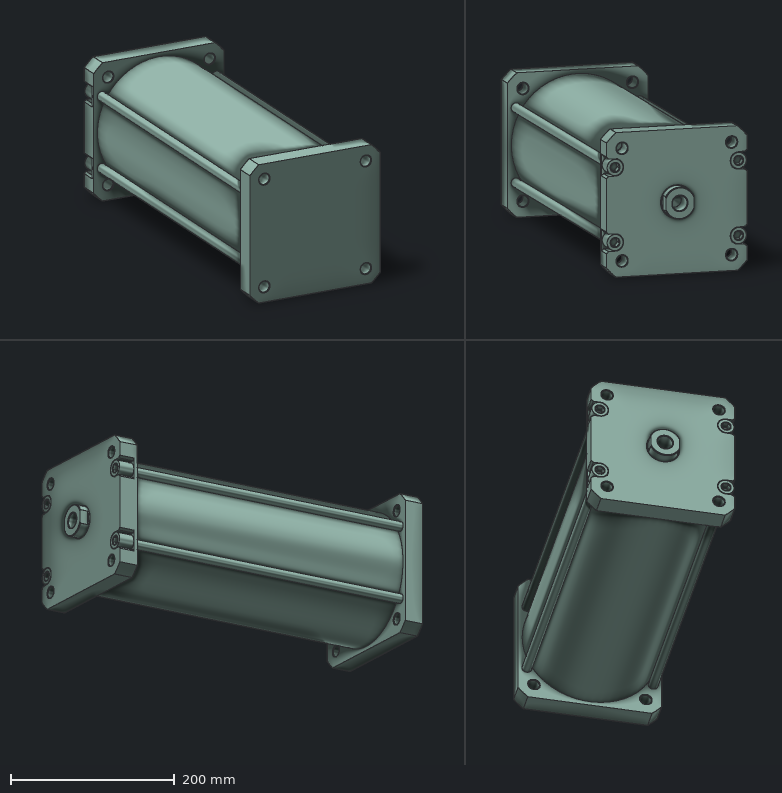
import cadquery as cq
import math


overall_length = 449.2
rod_protrusion = 12.5
plate_thickness = 25.0
plate_side = 180.0
barrel_diameter = 170.0
barrel_length = overall_length - rod_protrusion - 2 * plate_thickness

rear_plate_x = plate_thickness + barrel_length

corner_turning_diameter = 238.0
corner_hole_diameter = 14.0
corner_hole_offset = 70.0
corner_hole_chamfer = 1.0

tie_diameter = 12.0
tie_y = 79.0
tie_z = 46.5
tie_head_diameter = 20.0
tie_head_length = 20.5
hex_across_flats = 10.5
hex_depth = 10.0
hex_mouth_diameter = 12.5
hex_mouth_depth = 0.5
hex_turn_positive_y = 9.0
hex_turn_negative_y = -2.0
recess_diameter = 21.5
recess_chamfer = 2.5

rod_diameter = 40.0
rod_across_flats = 36.0
rod_bore_chamfer = 1.0
rod_flat_length = 11.2
rod_tip_chamfer = 1.0
rod_hole_diameter = 19.0
rod_hole_chamfer = 1.0
rod_hole_depth = 24.5
drill_point_angle = 118.0

tie_places = [(sy * tie_y, sz * tie_z) for sy in (-1, 1) for sz in (-1, 1)]
corner_hole_places = [
    (sy * corner_hole_offset, sz * corner_hole_offset) for sy in (-1, 1) for sz in (-1, 1)
]


def plane_at(x):
    """YZ sketch plane at the given X: local axes are Y and Z, extrusion runs toward +X."""
    return cq.Workplane("YZ", origin=(x, 0, 0))


def cone_at(x, start_radius, end_radius, length):
    """Truncated cone on the X axis, running toward +X from the given X."""
    start = cq.Vector(x, 0, 0)
    x_direction = cq.Vector(1, 0, 0)
    return cq.Workplane(cq.Solid.makeCone(start_radius, end_radius, length, start, x_direction))


def make_mounting_hole(x):
    """Cutter for one plate hole on the X axis, chamfered at both plate faces."""
    radius = corner_hole_diameter / 2
    mouth_radius = radius + corner_hole_chamfer
    far_chamfer_x = x + plate_thickness - corner_hole_chamfer
    return (
        plane_at(x)
        .circle(radius)
        .extrude(plate_thickness)
        .union(cone_at(x, mouth_radius, radius, corner_hole_chamfer))
        .union(cone_at(far_chamfer_x, radius, mouth_radius, corner_hole_chamfer))
    )


def make_plate(x):
    """Square plate with turned corners and four mounting holes, starting at the given X."""
    square = plane_at(x).rect(plate_side, plate_side).extrude(plate_thickness)
    turned_disc = plane_at(x).circle(corner_turning_diameter / 2).extrude(plate_thickness)
    plate = square.intersect(turned_disc)
    mounting_hole = make_mounting_hole(x)
    for y, z in corner_hole_places:
        plate = plate.cut(mounting_hole.translate((0, y, z)))
    return plate


def tie_recess(y, z):
    """Recess for one tie bolt head, open to the nearest plate side, with chamfered mouth."""
    edge_y = math.copysign(plate_side / 2, y)
    inward = -math.copysign(recess_chamfer, y)
    half_width = recess_diameter / 2
    mouth_half_width = half_width + recess_chamfer
    round_end = plane_at(0).center(y, z).circle(half_width).extrude(tie_head_length)
    slot = (
        plane_at(0)
        .polyline(
            [
                (y, z - half_width),
                (edge_y + inward, z - half_width),
                (edge_y, z - mouth_half_width),
                (edge_y, z + mouth_half_width),
                (edge_y + inward, z + half_width),
                (y, z + half_width),
            ]
        )
        .close()
        .extrude(tie_head_length)
    )
    return round_end.union(slot)


def make_front_plate():
    """End plate with a bore for the piston rod and a recessed hole for each tie bolt."""
    bore_radius = rod_diameter / 2
    rod_bore = plane_at(0).circle(bore_radius).extrude(plate_thickness)
    bore_mouth = cone_at(0, bore_radius + rod_bore_chamfer, bore_radius, rod_bore_chamfer)
    tie_holes = plane_at(0).pushPoints(tie_places).circle(tie_diameter / 2).extrude(plate_thickness)
    plate = make_plate(0).cut(rod_bore).cut(bore_mouth).cut(tie_holes)
    for y, z in tie_places:
        plate = plate.cut(tie_recess(y, z))
    return plate


def make_barrel():
    """Cylinder clamped between the two end plates."""
    return plane_at(plate_thickness).circle(barrel_diameter / 2).extrude(barrel_length)


def make_piston_rod():
    """Rod with two wrench flats, a chamfered tip and a drilled hole with a conical bottom."""
    flats_end_x = rod_flat_length - rod_protrusion
    flatted_end = (
        plane_at(-rod_protrusion)
        .circle(rod_diameter / 2)
        .extrude(rod_flat_length)
        .faces("<X")
        .chamfer(rod_tip_chamfer)
        .intersect(
            plane_at(-rod_protrusion).rect(rod_across_flats, rod_diameter).extrude(rod_flat_length)
        )
    )
    round_part = plane_at(flats_end_x).circle(rod_diameter / 2).extrude(plate_thickness - flats_end_x)
    hole_radius = rod_hole_diameter / 2
    hole_bottom_x = rod_hole_depth - rod_protrusion
    point_length = hole_radius / math.tan(math.radians(drill_point_angle / 2))
    hole = plane_at(-rod_protrusion).circle(hole_radius).extrude(rod_hole_depth)
    hole_mouth = cone_at(-rod_protrusion, hole_radius + rod_hole_chamfer, hole_radius, rod_hole_chamfer)
    drill_point = cone_at(hole_bottom_x, hole_radius, 0, point_length)
    return flatted_end.union(round_part).cut(hole).cut(hole_mouth).cut(drill_point)


def make_tie_bolt(y, z):
    """Socket head bolt at (y, z), head flush with the front face, shank up to the rear plate."""
    hex_corner_diameter = hex_across_flats / math.cos(math.pi / 6)
    head = plane_at(0).center(y, z).circle(tie_head_diameter / 2).extrude(tie_head_length)
    shank = plane_at(0).center(y, z).circle(tie_diameter / 2).extrude(rear_plate_x)
    hex_turn = hex_turn_positive_y if y > 0 else hex_turn_negative_y
    socket = (
        plane_at(0)
        .center(y, z)
        .transformed(rotate=(0, 0, hex_turn))
        .polygon(6, hex_corner_diameter)
        .extrude(hex_depth)
    )
    mouth_radius = hex_mouth_diameter / 2
    socket_mouth = cone_at(0, mouth_radius, hex_across_flats / 2, hex_mouth_depth).translate((0, y, z))
    return head.union(shank).cut(socket).cut(socket_mouth)


front_plate = make_front_plate()
rear_plate = make_plate(rear_plate_x)
barrel = make_barrel()
piston_rod = make_piston_rod()
tie_bolts = [make_tie_bolt(y, z).val() for y, z in tie_places]

result = cq.Compound.makeCompound(
    [front_plate.val(), rear_plate.val(), barrel.val(), piston_rod.val(), *tie_bolts]
)